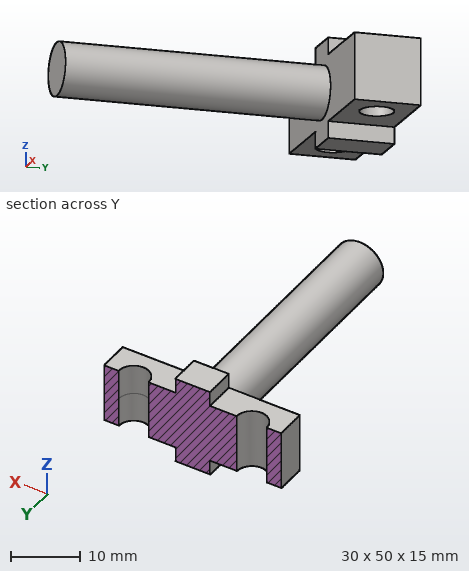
import cadquery as cq

bar_length = 30.0
bar_depth = 10.0
bar_height = 10.0

rib_width = 5.9
rib_height = 15.0

total_depth = 50.0
shaft_diameter = 8.0
shaft_length = total_depth - bar_depth

hole_diameter = 5.05
hole_spacing = 20.0


def make_head():
    """Crossbar with its central rib, centred on the origin."""
    bar = cq.Workplane("XY").box(bar_length, bar_depth, bar_height)
    rib = cq.Workplane("XY").box(rib_width, bar_depth, rib_height)
    return bar.union(rib)


def make_shaft():
    """Shaft running toward -Y from the front face of the crossbar."""
    return (
        cq.Workplane("XZ", origin=(0, -bar_depth / 2, 0))
        .circle(shaft_diameter / 2)
        .extrude(shaft_length)
    )


def make_holes():
    """Pair of vertical cylinders that cut through the crossbar."""
    return (
        cq.Workplane("XY")
        .pushPoints([(-hole_spacing / 2, 0), (hole_spacing / 2, 0)])
        .circle(hole_diameter / 2)
        .extrude(bar_height / 2, both=True)
    )


result = make_head().union(make_shaft()).cut(make_holes())